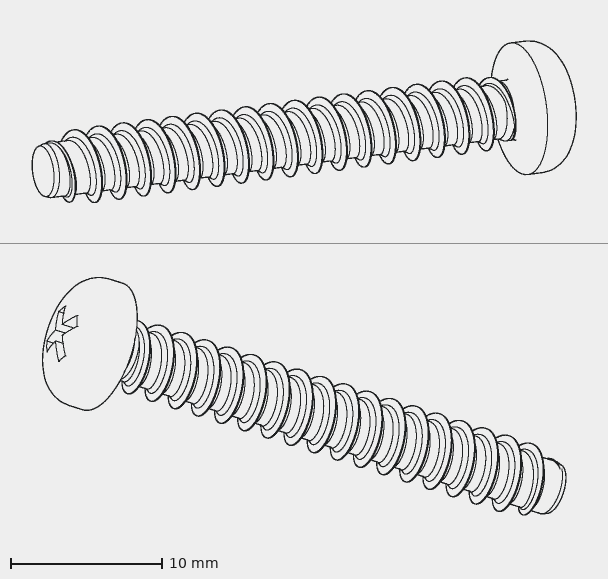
import cadquery as cq
import math


total_length = 38.45
head_height = 3.42
head_diameter = 8.8
head_radius = head_diameter / 2
dome_radius = 7.3
head_edge_fillet = 1.65

recess_depth = 1.92
recess_span = 3.85
recess_wing_width = 0.85

crown_loss = dome_radius - math.sqrt(dome_radius**2 - recess_wing_width**2 / 2)
shank_length = total_length - head_height + crown_loss
neck_radius = 2.0
neck_length = 1.25
neck_taper_length = 0.45
neck_fillet = 0.7
core_radius = 1.8
tip_radius = 1.7
tip_chamfer_length = 0.35
tip_cone_height = 0.1

crest_radius = 2.5
crest_half_width = 0.05
knee_radius = 2.0
knee_half_width = 0.2
base_half_width = 0.55
root_depth = 0.1
root_radius = core_radius - root_depth
flare_slope = (base_half_width - knee_half_width) / (knee_radius - core_radius)
root_half_width = base_half_width + flare_slope * root_depth
thread_turns = 19
thread_start = -34.53
thread_end = -0.4
thread_pitch = (thread_end - thread_start) / thread_turns
fade_turns = 1.5
end_scale = 0.1
piece_turns = 0.5
piece_intervals = 12


def head():
    """Domed head with a rounded rim."""
    rim_drop = dome_radius - math.sqrt(dome_radius**2 - head_radius**2)
    mid_radius = head_radius / 2
    mid_drop = dome_radius - math.sqrt(dome_radius**2 - mid_radius**2)
    blank = (
        cq.Workplane("XY")
        .lineTo(head_radius, 0)
        .lineTo(head_radius, head_height - rim_drop)
        .threePointArc((mid_radius, head_height - mid_drop), (0, head_height))
        .close()
        .revolve(360, (0, 0), (0, 1))
    )
    rim = cq.selectors.NearestToPointSelector((0, head_height - rim_drop, 0))
    return blank.edges(rim).fillet(head_edge_fillet)


def cross_recess():
    """Two crossed wings reaching down from the top of the dome."""
    middle = head_height - recess_depth / 2
    wing_x = cq.Workplane("XY").box(recess_span, recess_depth, recess_wing_width)
    wing_z = cq.Workplane("XY").box(recess_wing_width, recess_depth, recess_span)
    return wing_x.union(wing_z).translate((0, middle, 0))


def shank():
    """Neck with a fillet under the head, tapering to the core, and a chamfered tip."""
    fillet_reach = neck_radius + neck_fillet
    arc_offset = neck_fillet * (1 - math.sqrt(0.5))
    neck_end = -neck_length
    core_start = neck_end - neck_taper_length
    tip_edge = -shank_length + tip_cone_height
    return (
        cq.Workplane("XY")
        .lineTo(fillet_reach, 0)
        .threePointArc((neck_radius + arc_offset, -arc_offset), (neck_radius, -neck_fillet))
        .lineTo(neck_radius, neck_end)
        .lineTo(core_radius, core_start)
        .lineTo(core_radius, tip_edge + tip_chamfer_length)
        .lineTo(tip_radius, tip_edge)
        .lineTo(0, -shank_length)
        .close()
        .revolve(360, (0, 0), (0, 1))
    )


def thread_scale(turn):
    """Share of the full thread size, easing off over the first and last turns."""
    share = min(turn, thread_turns - turn, fade_turns) / fade_turns
    eased = math.sin(share * math.pi / 2)
    return end_scale + (1 - end_scale) * eased


def helix_point(radius, offset, turn):
    """Point of a thread edge; the helix leaves the tip on the -X side."""
    scale = thread_scale(turn)
    faded_radius = root_radius + (radius - root_radius) * scale
    angle = 2 * math.pi * turn
    y = thread_start + turn * thread_pitch + offset * scale
    return cq.Vector(-faded_radius * math.cos(angle), y, faded_radius * math.sin(angle))


def thread():
    """Thread ridge: ruled faces between neighbouring helical edges, with flat ends."""
    profile = [
        (root_radius, -root_half_width),
        (knee_radius, -knee_half_width),
        (crest_radius, -crest_half_width),
        (crest_radius, crest_half_width),
        (knee_radius, knee_half_width),
        (root_radius, root_half_width),
    ]
    faces = []
    for piece in range(round(thread_turns / piece_turns)):
        turns = [piece_turns * (piece + i / piece_intervals) for i in range(piece_intervals + 1)]
        edges = [
            cq.Edge.makeSpline([helix_point(radius, offset, turn) for turn in turns])
            for radius, offset in profile
        ]
        for i, edge in enumerate(edges):
            faces.append(cq.Face.makeRuledSurface(edge, edges[(i + 1) % len(edges)]))
    for turn in (0, thread_turns):
        corners = [helix_point(radius, offset, turn) for radius, offset in profile]
        faces.append(cq.Face.makeFromWires(cq.Wire.makePolygon(corners, close=True)))
    return cq.Workplane(obj=cq.Solid.makeSolid(cq.Shell.makeShell(faces)))


result = head().cut(cross_recess()).union(shank()).union(thread())